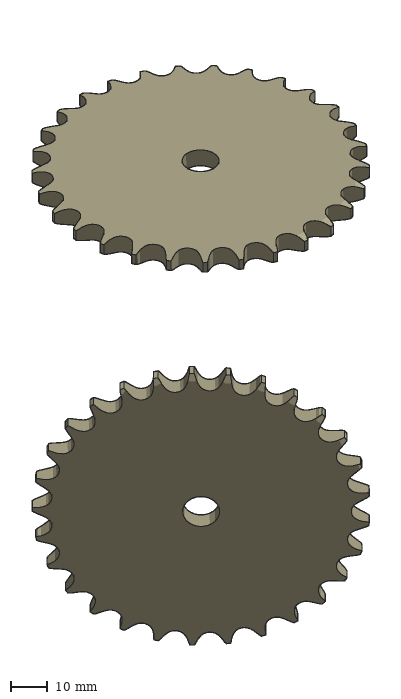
import cadquery as cq
import math

tooth_count = 29
pitch_diameter = 88.15
roller_diameter = 6.3
tip_diameter = 92.0
thickness = 5.3
bore_diameter = 10.0
flat_face_radius = 41.6

tooth_step = 360.0 / tooth_count
pitch_radius = pitch_diameter / 2
chain_pitch = pitch_diameter * math.sin(math.pi / tooth_count)
side_curve_radius = chain_pitch
tip_radius = tip_diameter / 2
half_thickness = thickness / 2

seat_factor = 0.5025
working_factor = 1.3025
working_centre_factor = 0.8
topping_centre_factor = 1.4

working_turn = math.radians(18 - 56 / tooth_count)
topping_tilt = math.radians(17 - 64 / tooth_count)
seat_end_angle = math.radians(55 - 60 / tooth_count)
working_end_angle = seat_end_angle + working_turn

seat_radius = seat_factor * roller_diameter
working_radius = working_factor * roller_diameter
straight_length = roller_diameter * (
    topping_centre_factor * math.sin(topping_tilt)
    - working_centre_factor * math.sin(working_turn)
)
topping_radius = roller_diameter * (
    working_centre_factor * math.cos(working_turn)
    + topping_centre_factor * math.cos(topping_tilt)
    - working_factor
)


def side_drop(radius):
    """Depth of the rounded side below the flat face at a given radius."""
    run = radius - flat_face_radius
    return side_curve_radius - math.sqrt(side_curve_radius**2 - run**2)


def make_blank():
    """Disc with a bore, its rim rounded towards the tip on both sides."""
    bore_radius = bore_diameter / 2
    middle_radius = (flat_face_radius + tip_radius) / 2
    middle_height = half_thickness - side_drop(middle_radius)
    tip_height = half_thickness - side_drop(tip_radius)
    return (
        cq.Workplane("XZ")
        .moveTo(bore_radius, -half_thickness)
        .lineTo(flat_face_radius, -half_thickness)
        .threePointArc((middle_radius, -middle_height), (tip_radius, -tip_height))
        .lineTo(tip_radius, tip_height)
        .threePointArc((middle_radius, middle_height), (flat_face_radius, half_thickness))
        .lineTo(bore_radius, half_thickness)
        .close()
        .revolve(360, (0, 0, 0), (0, 1, 0))
    )


def polar_offset(point, distance, angle):
    """Move a point by a distance at an angle measured from -Y towards +X."""
    return (point[0] + distance * math.sin(angle), point[1] - distance * math.cos(angle))


def mirrored(point):
    """Matching point on the other side of the gap."""
    return (-point[0], point[1])


def make_gap():
    """Cutter for the gap centred on +Y, from the roller seat out to the tips."""
    seat_centre = (0, pitch_radius)
    seat_bottom = polar_offset(seat_centre, seat_radius, 0)
    seat_end = polar_offset(seat_centre, seat_radius, seat_end_angle)

    working_centre = polar_offset(seat_end, -working_radius, seat_end_angle)
    working_middle = polar_offset(working_centre, working_radius, seat_end_angle + working_turn / 2)
    working_end = polar_offset(working_centre, working_radius, working_end_angle)

    straight_end = polar_offset(working_end, straight_length, working_end_angle + math.pi / 2)

    topping_centre = polar_offset(straight_end, topping_radius, working_end_angle)
    topping_rise = tip_radius - topping_centre[1]
    topping_end_angle = math.acos(topping_rise / topping_radius)
    topping_middle_angle = (working_end_angle + topping_end_angle) / 2
    topping_middle = polar_offset(topping_centre, -topping_radius, topping_middle_angle)
    topping_end = polar_offset(topping_centre, -topping_radius, topping_end_angle)

    return (
        cq.Workplane("XY", origin=(0, 0, -half_thickness))
        .moveTo(*mirrored(topping_end))
        .threePointArc(mirrored(topping_middle), mirrored(straight_end))
        .lineTo(*mirrored(working_end))
        .threePointArc(mirrored(working_middle), mirrored(seat_end))
        .threePointArc(seat_bottom, seat_end)
        .threePointArc(working_middle, working_end)
        .lineTo(*straight_end)
        .threePointArc(topping_middle, topping_end)
        .close()
        .extrude(thickness)
    )


result = make_blank()
gap = make_gap()
for index in range(tooth_count):
    result = result.cut(gap.rotate((0, 0, 0), (0, 0, 1), index * tooth_step))